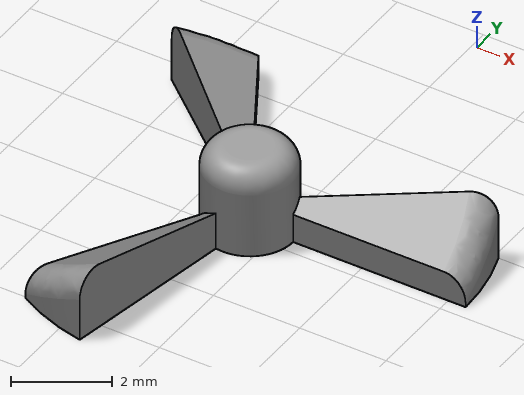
import cadquery as cq
import math

hub_radius = 1.0
hub_height = 2.0
rounding = 0.5

blade_count = 3
overall_length = 9.25
blade_sweep = 20.0
tip_span_ratio = math.sin(math.radians(120)) - math.sin(math.radians(240 + blade_sweep))
tip_radius = overall_length / tip_span_ratio
leading_height = 0.675
top_pitch = 30.0


def polar_point(radius, angle):
    """Point at a radius and an angle in degrees."""
    turn = math.radians(angle)
    return (radius * math.cos(turn), radius * math.sin(turn))


def make_hub():
    """Cylinder with a rounded top rim."""
    hub = cq.Workplane("XY").circle(hub_radius).extrude(hub_height)
    return hub.faces(">Z").edges().fillet(rounding)


def make_blade():
    """Sector blade with its leading face on the +X axis."""
    sector = (
        cq.Workplane("XY")
        .lineTo(tip_radius, 0)
        .threePointArc(polar_point(tip_radius, blade_sweep / 2), polar_point(tip_radius, blade_sweep))
        .close()
        .extrude(hub_height)
    )
    rise = tip_radius * math.tan(math.radians(top_pitch))
    envelope = (
        cq.Workplane("YZ")
        .polyline([(0, 0), (tip_radius, 0), (tip_radius, leading_height + rise), (0, leading_height)])
        .close()
        .extrude(tip_radius)
    )
    blade = sector.intersect(envelope)
    tip_face = blade.faces(cq.selectors.TypeSelector("CYLINDER"))
    return blade.newObject(tip_face.edges(">Z").vals()).fillet(rounding)


result = make_hub()
blade = make_blade()
for index in range(blade_count):
    angle = index * 360 / blade_count
    result = result.union(blade.rotate((0, 0, 0), (0, 0, 1), angle))